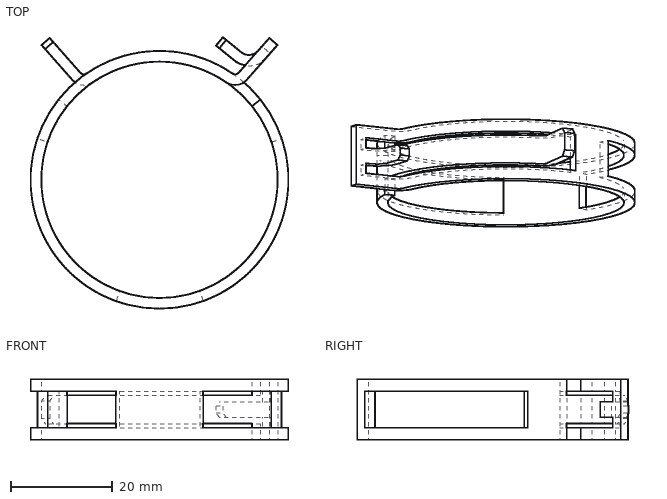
import cadquery as cq
import math


LEFT = 90
RIGHT = -90
FULL_TURN = 360

OUTER_RADIUS = 25.5
WALL = 2.15
BAND_HEIGHT = 12.0
INNER_RADIUS = OUTER_RADIUS - WALL

RING_END_ANGLE = 38.5
SLOT_START_ANGLE = 180 - RING_END_ANGLE
WINDOW_START_ANGLE = 161.3
WINDOW_END_ANGLE = 250.2

SLOT_HEIGHT = 7.15
TONGUE_HEIGHT = 5.65
TONGUE_CHAMFER = 1.1

BEND_ANGLE = 55.6
BEND_INSIDE_RADIUS = 0.95
TAB_DIRECTION = 48.6
TAB_LENGTH = 9.15
BRIDGE_LENGTH = 2.2

LATCH_HEIGHT = 3.1
LATCH_CHAMFER = 0.85
LATCH_LEAD = 1.2
LATCH_INSIDE_RADIUS = 2.4
LATCH_DIRECTION = 140.8
LATCH_LENGTH = 4.65


def polar(radius, angle, center=(0, 0)):
    """Point at a radius and an angle in degrees about a center."""
    turn = math.radians(angle)
    return (center[0] + radius * math.cos(turn), center[1] + radius * math.sin(turn))


def curved_strip(center, inner, outer, start, end, height):
    """Arc-shaped strip between two radii and two angles, centred on Z = 0."""
    middle = (start + end) / 2
    return (
        cq.Workplane("XY", origin=(0, 0, -height / 2))
        .moveTo(*polar(inner, start, center))
        .threePointArc(polar(inner, middle, center), polar(inner, end, center))
        .lineTo(*polar(outer, end, center))
        .threePointArc(polar(outer, middle, center), polar(outer, start, center))
        .close()
        .extrude(height)
    )


def straight_strip(corner, direction, length, height, chamfer=0, side=RIGHT):
    """Flat strip running from a corner, its thickness on the chosen side of its direction."""
    across = polar(1, direction + side)
    along = polar(1, direction)
    plane = cq.Plane(origin=corner + (0,), xDir=along + (0,), normal=across + (0,))
    half = height / 2
    outline = [(0, half), (0, -half)]
    if chamfer:
        outline += [(length - chamfer, -half), (length, chamfer - half)]
        outline += [(length, half - chamfer), (length - chamfer, half)]
    else:
        outline += [(length, -half), (length, half)]
    return cq.Workplane(plane).polyline(outline).close().extrude(WALL)


BEND_CENTER = polar(OUTER_RADIUS + BEND_INSIDE_RADIUS, BEND_ANGLE)
TAB_CORNER = polar(BEND_INSIDE_RADIUS, TAB_DIRECTION + RIGHT, BEND_CENTER)


def hooked_band(ring_end, tab_length, height, chamfer=0):
    """Ring stretch from the bend round to ring_end, with its outward bend and flat tab."""
    ring = curved_strip((0, 0), INNER_RADIUS, OUTER_RADIUS, BEND_ANGLE, ring_end, height)
    bend = curved_strip(
        BEND_CENTER,
        BEND_INSIDE_RADIUS,
        BEND_INSIDE_RADIUS + WALL,
        BEND_ANGLE + 180,
        TAB_DIRECTION + RIGHT + FULL_TURN,
        height,
    )
    tab = straight_strip(TAB_CORNER, TAB_DIRECTION, tab_length, height, chamfer)
    return ring.union(bend).union(tab)


def latch():
    """Narrow strip that runs back from the bridge, then curves away over the ring."""
    lead_end = TAB_LENGTH - BRIDGE_LENGTH
    lead_start = lead_end - LATCH_LEAD
    corner = polar(lead_start, TAB_DIRECTION, TAB_CORNER)
    lead = straight_strip(corner, TAB_DIRECTION, LATCH_LEAD, LATCH_HEIGHT)
    bend_center = polar(LATCH_INSIDE_RADIUS, TAB_DIRECTION + LEFT, corner)
    outside_radius = LATCH_INSIDE_RADIUS + WALL
    bend_start = LATCH_DIRECTION + LEFT
    bend_end = TAB_DIRECTION + RIGHT + FULL_TURN
    bend = curved_strip(bend_center, LATCH_INSIDE_RADIUS, outside_radius, bend_start, bend_end, LATCH_HEIGHT)
    arm_corner = polar(LATCH_INSIDE_RADIUS, bend_start, bend_center)
    arm = straight_strip(arm_corner, LATCH_DIRECTION, LATCH_LENGTH, LATCH_HEIGHT, LATCH_CHAMFER, LEFT)
    return lead.union(bend).union(arm)


body = hooked_band(FULL_TURN + RING_END_ANGLE, TAB_LENGTH, BAND_HEIGHT)
slot = hooked_band(SLOT_START_ANGLE, TAB_LENGTH - BRIDGE_LENGTH, SLOT_HEIGHT)
window = curved_strip((0, 0), INNER_RADIUS, OUTER_RADIUS, WINDOW_START_ANGLE, WINDOW_END_ANGLE, SLOT_HEIGHT)
tongue = hooked_band(SLOT_START_ANGLE, TAB_LENGTH, TONGUE_HEIGHT, TONGUE_CHAMFER).mirror("YZ")

frame = body.cut(slot).cut(window).cut(window.mirror("YZ"))
result = frame.union(tongue).union(latch())